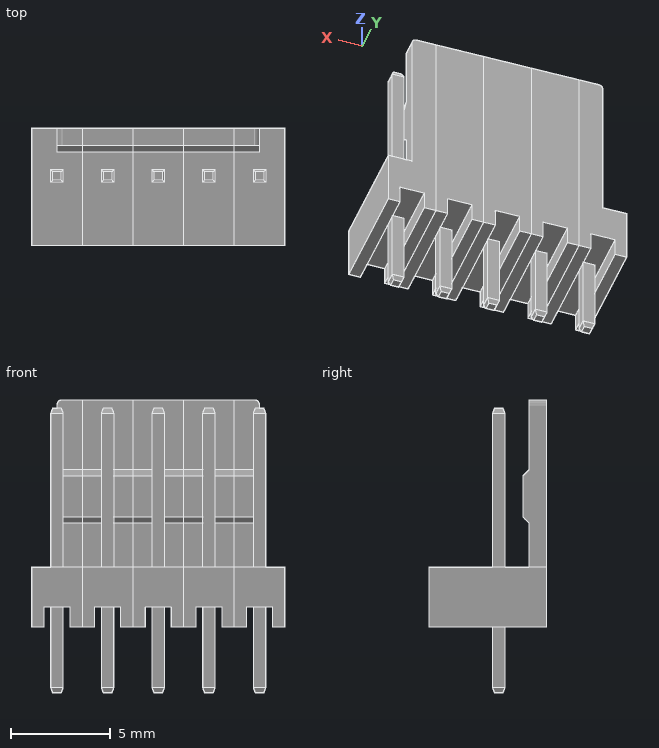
import cadquery as cq


cell_count = 5
row_width = 12.7
total_height = 14.7
pitch = row_width / cell_count

base_depth = 5.9
base_height = 3.0
slot_width = 1.3
slot_height = 1.0

wall_height = 8.4
wall_thickness = 0.88
wall_half_width = (row_width - pitch) / 2
wall_corner_radius = 0.25
wall_top = base_height + wall_height
wall_front_y = base_depth - wall_thickness

ridge_projection = 0.31
ridge_bottom = base_height + 2.22
ridge_height = 2.68

pin_width = 0.63
pin_setback = 2.4
pin_height_above_base = 7.98
pin_tip_length = 0.26
pin_tip_inset = 0.1
pin_y = base_depth - pin_setback
pin_top = base_height + pin_height_above_base
pin_bottom = wall_top - total_height


def base_block(center_x):
    """Block one pitch wide with a slot running front to back along its underside."""
    block = cq.Workplane("XY").box(pitch, base_depth, base_height, centered=(True, False, False))
    slot = cq.Workplane("XY").box(slot_width, base_depth, slot_height, centered=(True, False, False))
    return block.cut(slot).translate((center_x, 0, 0))


def full_wall():
    """Wall and ridge over the whole row, with the two upper corners rounded."""
    ridge_top = ridge_bottom + ridge_height
    ridge_front_y = wall_front_y - ridge_projection
    profile = [
        (base_depth, base_height),
        (base_depth, wall_top),
        (wall_front_y, wall_top),
        (wall_front_y, ridge_top),
        (ridge_front_y, ridge_top - ridge_projection),
        (ridge_front_y, ridge_bottom + ridge_projection),
        (wall_front_y, ridge_bottom),
        (wall_front_y, base_height),
    ]
    wall = cq.Workplane("YZ").polyline(profile).close().extrude(wall_half_width, both=True)
    return wall.faces(">Z").edges("|Y").fillet(wall_corner_radius)


def wall_section(center_x):
    """Part of the wall that stands on the cell at center_x."""
    cell_space = (
        cq.Workplane("XY")
        .box(pitch, base_depth, wall_top, centered=(True, False, False))
        .translate((center_x, 0, 0))
    )
    return full_wall().intersect(cell_space)


def pin(center_x):
    """Square pin through the base, tapered on all four sides at both ends."""
    tip_width = pin_width - 2 * pin_tip_inset
    shank_bottom = pin_bottom + pin_tip_length
    shank_top = pin_top - pin_tip_length
    shank = (
        cq.Workplane("XY", origin=(center_x, pin_y, shank_bottom))
        .rect(pin_width, pin_width)
        .extrude(shank_top - shank_bottom)
    )
    upper_tip = (
        cq.Workplane("XY", origin=(center_x, pin_y, shank_top))
        .rect(pin_width, pin_width)
        .workplane(offset=pin_tip_length)
        .rect(tip_width, tip_width)
        .loft(combine=False)
    )
    lower_tip = (
        cq.Workplane("XY", origin=(center_x, pin_y, pin_bottom))
        .rect(tip_width, tip_width)
        .workplane(offset=pin_tip_length)
        .rect(pin_width, pin_width)
        .loft(combine=False)
    )
    return shank.union(upper_tip).union(lower_tip)


def header_cell(center_x):
    """One complete cell as a single solid."""
    return base_block(center_x).union(wall_section(center_x)).union(pin(center_x))


header_cells = []
for index in range(cell_count):
    cell_x = (index - (cell_count - 1) / 2) * pitch
    header_cells.append(header_cell(cell_x).solids().val())

result = cq.Compound.makeCompound(header_cells)